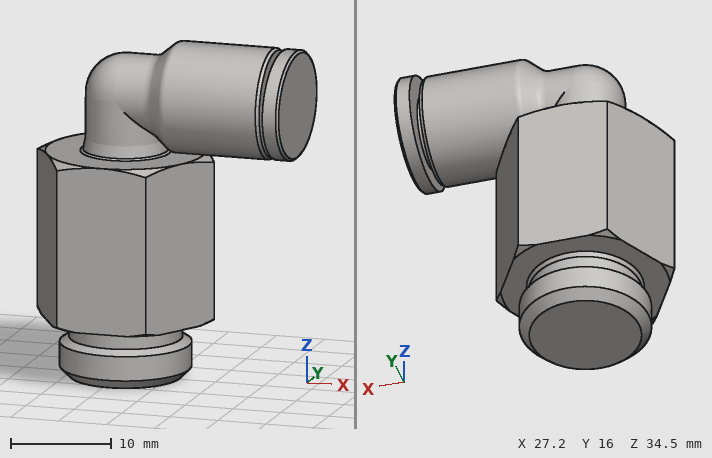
import cadquery as cq
import math

overall_height = 34.5

stud_radius = 6.6
stud_chamfer = 1.0
stud_height = 3.5
neck_radius = 5.65
neck_start = 4.0
neck_end = 5.5
neck_flare = 0.2

hex_flats = 16.0
hex_bottom = 6.0
hex_top = 23.0
hex_chamfer_angle = 25
hex_top_face_radius = hex_flats / 2
hex_bottom_face_radius = 8.45

elbow_radius = 4.0
stem_cone_top = 24.4
stem_cone_bottom = 23.2
stem_cone_radius = 4.25
stem_foot_radius = 4.52

socket_radius = 5.6
elbow_height = overall_height - socket_radius
shoulder_start = 3.07
shoulder_angle = 40
inner_blend_radius = 1.17
outer_blend_radius = 0.83
socket_end = 15.63
socket_chamfer_length = 0.35
socket_chamfer_depth = 0.2

sleeve_radius = 3.8
ring_start = 16.32
ring_end = 17.95
ring_half_width = 6.52
ring_half_height = 5.5
ring_chamfer = 0.25


def make_stud():
    """Chamfered collar, undercut neck and the small flare under the hex."""
    profile = (
        cq.Workplane("XZ")
        .lineTo(stud_radius - stud_chamfer, 0)
        .lineTo(stud_radius, stud_chamfer)
        .lineTo(stud_radius, stud_height)
        .lineTo(neck_radius, neck_start)
        .lineTo(neck_radius, neck_end)
        .lineTo(neck_radius + neck_flare, hex_bottom)
        .lineTo(0, hex_bottom)
        .close()
    )
    return profile.revolve(360, (0, 0), (0, 1))


def make_hex():
    """Hexagonal prism whose corners are turned off by a cone at both ends."""
    corner_radius = hex_flats / 2 / math.cos(math.radians(30))
    slope = math.tan(math.radians(hex_chamfer_angle))
    bottom_chamfer_height = (corner_radius - hex_bottom_face_radius) * slope
    top_chamfer_height = (corner_radius - hex_top_face_radius) * slope
    prism = (
        cq.Workplane("XY", origin=(0, 0, hex_bottom))
        .polygon(6, 2 * corner_radius)
        .extrude(hex_top - hex_bottom)
    )
    turned_blank = (
        cq.Workplane("XZ")
        .moveTo(0, hex_bottom)
        .lineTo(hex_bottom_face_radius, hex_bottom)
        .lineTo(corner_radius, hex_bottom + bottom_chamfer_height)
        .lineTo(corner_radius, hex_top - top_chamfer_height)
        .lineTo(hex_top_face_radius, hex_top)
        .lineTo(0, hex_top)
        .close()
        .revolve(360, (0, 0), (0, 1))
    )
    return prism.intersect(turned_blank)


def make_elbow():
    """Vertical stem with a conical foot, capped by the ball of the bend."""
    stem = (
        cq.Workplane("XZ")
        .moveTo(0, hex_top)
        .lineTo(stem_foot_radius, hex_top)
        .lineTo(stem_cone_radius, stem_cone_bottom)
        .lineTo(elbow_radius, stem_cone_top)
        .lineTo(elbow_radius, elbow_height)
        .lineTo(0, elbow_height)
        .close()
        .revolve(360, (0, 0), (0, 1))
    )
    ball = cq.Workplane("XY", origin=(0, 0, elbow_height)).sphere(elbow_radius)
    return stem.union(ball)


def make_socket():
    """Horizontal arm, blended conical shoulder, socket barrel and inner sleeve."""
    sine = math.sin(math.radians(shoulder_angle))
    cosine = math.cos(math.radians(shoulder_angle))
    cone_start_x = shoulder_start + inner_blend_radius * sine
    cone_start_radius = elbow_radius + inner_blend_radius * (1 - cosine)
    cone_end_radius = socket_radius - outer_blend_radius * (1 - cosine)
    cone_end_x = cone_start_x + (cone_end_radius - cone_start_radius) * cosine / sine
    barrel_start_x = cone_end_x + outer_blend_radius * sine
    return (
        cq.Workplane("XZ", origin=(0, 0, elbow_height))
        .lineTo(0, elbow_radius)
        .lineTo(shoulder_start, elbow_radius)
        .radiusArc((cone_start_x, cone_start_radius), -inner_blend_radius)
        .lineTo(cone_end_x, cone_end_radius)
        .radiusArc((barrel_start_x, socket_radius), outer_blend_radius)
        .lineTo(socket_end - socket_chamfer_length, socket_radius)
        .lineTo(socket_end, socket_radius - socket_chamfer_depth)
        .lineTo(socket_end, sleeve_radius)
        .lineTo(ring_start, sleeve_radius)
        .lineTo(ring_start, 0)
        .close()
        .revolve(360, (0, 0), (1, 0))
    )


def make_release_ring():
    """Elliptical disc, wider than tall, with its outer rim chamfered."""
    return (
        cq.Workplane("YZ", origin=(ring_start, 0, elbow_height))
        .ellipse(ring_half_width, ring_half_height)
        .extrude(ring_end - ring_start)
        .faces(">X")
        .chamfer(ring_chamfer)
    )


result = (
    make_stud()
    .union(make_hex())
    .union(make_elbow())
    .union(make_socket())
    .union(make_release_ring())
)